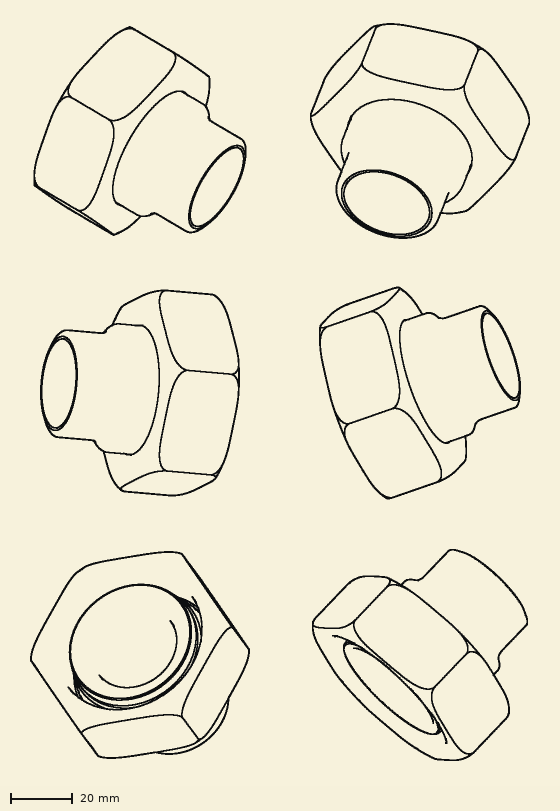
import cadquery as cq
import math


nut_corner_radius = 34.65
nut_length = 24.05
nut_corner_rounding = 4.5
thread_radius = 49.8 / 2
mouth_chamfer = 1.6
mouth_rim_blend = 0.3
mouth_thread_blend = 0.8
seat_place = 18.0
nut_bore_radius = 42.3 / 2

part_length = 50.5
nose_place = 2.35
nose_radius = 20.9
cone_half_angle = math.radians(12)
nose_chamfer = 0.35
flange_radius = 47.8 / 2
collar_radius = 41.9 / 2
collar_blend = 1.0
neck_radius = 5.75
pipe_start = 37.35
pipe_radius = 35.0 / 2
bevel_length = 1.25
bevel_angle = math.radians(60)
bevel_blend = 0.3
bore_radius = 29.0 / 2
mouth_radius = 18.6
mouth_edge_blend = 0.55
bore_edge_blend = 1.0
groove_front = 5.6
groove_back = 8.7

ring_outer_radius = 21.55
ring_section_radius = 1.3

groove_floor_radius = ring_outer_radius - 2 * ring_section_radius
ring_place = (groove_front + groove_back) / 2
cone_end = nose_place + (flange_radius - nose_radius) / math.tan(cone_half_angle)
clamp_end = seat_place + flange_radius - nut_bore_radius
shoulder_end = seat_place + flange_radius - collar_radius
bevel_start = part_length - bevel_length
bevel_end_radius = pipe_radius - bevel_length * math.tan(bevel_angle)
countersink_end = nose_place + mouth_radius - bore_radius


def cone_radius(place):
    """Radius of the sealing cone at a place along the axis."""
    return nose_radius + (place - nose_place) * math.tan(cone_half_angle)


def turned(profile):
    """Turn a profile drawn in the XY plane about the X axis."""
    return profile.close().revolve(360, (0, 0, 0), (1, 0, 0))


def round_corner(body, place, radius, blend):
    """Fillet the circular edge of a turned body at a place and radius."""
    tolerance = 0.01
    rim = [
        edge
        for edge in body.edges("%CIRCLE").vals()
        if abs(edge.Center().x - place) < tolerance and abs(edge.radius() - radius) < tolerance
    ]
    return body.newObject(rim).fillet(blend)


def make_nut():
    hexagon = cq.Workplane("YZ").polygon(6, 2 * nut_corner_radius).extrude(nut_length)
    envelope = cq.Workplane("YZ").circle(nut_corner_radius).extrude(nut_length)
    envelope = envelope.edges("%CIRCLE").fillet(nut_corner_rounding)

    hole = turned(
        cq.Workplane("XY")
        .lineTo(0, thread_radius + mouth_chamfer)
        .lineTo(mouth_chamfer, thread_radius)
        .lineTo(seat_place, thread_radius)
        .lineTo(seat_place, flange_radius)
        .lineTo(clamp_end, nut_bore_radius)
        .lineTo(nut_length, nut_bore_radius)
        .lineTo(nut_length, 0)
    )
    hole = round_corner(hole, mouth_chamfer, thread_radius, mouth_thread_blend)
    body = hexagon.intersect(envelope).cut(hole)
    return round_corner(body, 0, thread_radius + mouth_chamfer, mouth_rim_blend)


def make_nipple():
    neck_center_radius = pipe_radius + neck_radius
    blend_center_radius = collar_radius - collar_blend
    neck_angle = math.acos((neck_center_radius - blend_center_radius) / (neck_radius + collar_blend))
    neck_start = pipe_start - neck_radius * math.sin(neck_angle)
    neck_start_radius = neck_center_radius - neck_radius * math.cos(neck_angle)
    neck_middle = pipe_start - neck_radius * math.sin(neck_angle / 2)
    neck_middle_radius = neck_center_radius - neck_radius * math.cos(neck_angle / 2)
    blend_start = neck_start - collar_blend * math.sin(neck_angle)
    blend_middle = blend_start + collar_blend * math.sin(neck_angle / 2)
    blend_middle_radius = blend_center_radius + collar_blend * math.cos(neck_angle / 2)

    body = turned(
        cq.Workplane("XY")
        .moveTo(nose_place, mouth_radius)
        .lineTo(nose_place, nose_radius - nose_chamfer)
        .lineTo(nose_place + nose_chamfer, cone_radius(nose_place + nose_chamfer))
        .lineTo(groove_front, cone_radius(groove_front))
        .lineTo(groove_front, groove_floor_radius)
        .lineTo(groove_back, groove_floor_radius)
        .lineTo(groove_back, cone_radius(groove_back))
        .lineTo(cone_end, flange_radius)
        .lineTo(seat_place, flange_radius)
        .lineTo(shoulder_end, collar_radius)
        .lineTo(blend_start, collar_radius)
        .threePointArc((blend_middle, blend_middle_radius), (neck_start, neck_start_radius))
        .threePointArc((neck_middle, neck_middle_radius), (pipe_start, pipe_radius))
        .lineTo(bevel_start, pipe_radius)
        .lineTo(part_length, bevel_end_radius)
        .lineTo(part_length, bore_radius)
        .lineTo(countersink_end, bore_radius)
    )
    body = round_corner(body, nose_place, mouth_radius, mouth_edge_blend)
    body = round_corner(body, countersink_end, bore_radius, bore_edge_blend)
    return round_corner(body, bevel_start, pipe_radius, bevel_blend)


def make_o_ring():
    ring_center_radius = ring_outer_radius - ring_section_radius
    section = cq.Workplane("XY").center(ring_place, ring_center_radius).circle(ring_section_radius)
    return section.revolve(360, (-ring_place, -ring_center_radius, 0), (0.7 - ring_place, -ring_center_radius, 0))


nut = make_nut()
nipple = make_nipple()
o_ring = make_o_ring()

result = cq.Compound.makeCompound([nut.val(), nipple.val(), o_ring.val()])